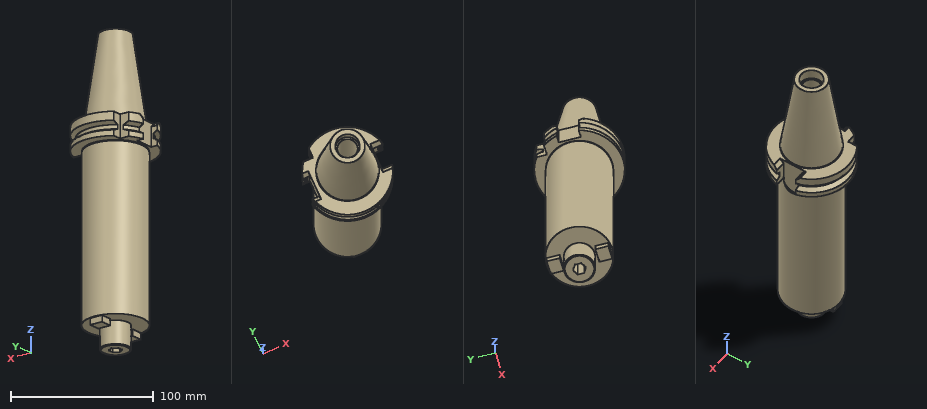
import cadquery as cq
import math

total_length = 236.5
taper_length = 68.5
flange_top_depth = 69.3
flange_bottom_depth = 87.5
body_top_depth = 88.2
body_bottom_depth = 218.0

gauge_radius = 22.2
taper_rate = 3.5 / 24
small_end_radius = gauge_radius - taper_length * taper_rate
relief_radius = 21.7
flange_radius = 63.5 / 2
neck_radius = 23.6
body_radius = 23.9
spigot_radius = 22.0 / 2
spigot_chamfer = 0.7

groove_floor_radius = 28.1
groove_top_depth = 76.0
groove_bottom_depth = 83.2
groove_flank_angle = 30
groove_flank = (flange_radius - groove_floor_radius) * math.tan(math.radians(groove_flank_angle))

slot_width = 16.0
slot_chamfer = 3.0
left_slot_floor = 25.3
right_slot_floor = 22.5
right_slot_end_depth = 97.0

notch_x = -18.2
notch_y = 18.7

key_width = 10.5
key_height = 5.0
key_inner = 13.0
key_outer = 22.5

bore_steps = [
    (8.5, 8.3),
    (7.0, 68.5),
    (6.0, 78.0),
]
hex_across_flats = 8.0


def level(depth):
    """Height above the spigot end for a depth below the small end."""
    return total_length - depth


def turned_blank():
    stations = [
        (0, 0),
        (small_end_radius, 0),
        (gauge_radius, taper_length),
        (relief_radius, taper_length),
        (relief_radius, flange_top_depth),
        (flange_radius, flange_top_depth),
        (flange_radius, groove_top_depth),
        (groove_floor_radius, groove_top_depth + groove_flank),
        (groove_floor_radius, groove_bottom_depth - groove_flank),
        (flange_radius, groove_bottom_depth),
        (flange_radius, flange_bottom_depth),
        (neck_radius, flange_bottom_depth),
        (neck_radius, body_top_depth),
        (body_radius, body_top_depth),
        (body_radius, body_bottom_depth),
        (spigot_radius, body_bottom_depth),
        (spigot_radius, total_length - spigot_chamfer),
        (spigot_radius - spigot_chamfer, total_length),
        (0, total_length),
    ]
    outline = [(radius, level(depth)) for radius, depth in stations]
    return cq.Workplane("XZ").polyline(outline).close().revolve(360, (0, 0), (0, 1))


def slot_profile(bottom_depth):
    """Slot cross-section in YZ, flared at the upper flange edge."""
    half = slot_width / 2
    top = level(flange_top_depth)
    return (
        cq.Workplane("YZ")
        .moveTo(-half, level(bottom_depth))
        .lineTo(half, level(bottom_depth))
        .lineTo(half, top - slot_chamfer)
        .lineTo(half + slot_chamfer, top)
        .lineTo(-half - slot_chamfer, top)
        .lineTo(-half, top - slot_chamfer)
        .close()
    )


def left_slot():
    slot = slot_profile(flange_bottom_depth).extrude(-flange_radius)
    return slot.intersect(
        cq.Workplane("YZ", origin=(-left_slot_floor, 0, total_length / 2))
        .rect(total_length, total_length)
        .extrude(-flange_radius)
    )


def right_slot():
    """Deeper slot that runs into the body and ends in a half round."""
    half = slot_width / 2
    round_depth = right_slot_end_depth - half
    round_end = cq.Workplane("YZ").center(0, level(round_depth)).circle(half).extrude(flange_radius)
    slot = slot_profile(round_depth).extrude(flange_radius).union(round_end)
    return slot.intersect(
        cq.Workplane("YZ", origin=(right_slot_floor, 0, total_length / 2))
        .rect(total_length, total_length)
        .extrude(flange_radius)
    )


def notch():
    return (
        cq.Workplane("XY", origin=(notch_x, notch_y, level(flange_bottom_depth)))
        .rect(-flange_radius, flange_radius, centered=False)
        .extrude(flange_bottom_depth - flange_top_depth)
    )


def drive_keys():
    key_centre = (key_inner + key_outer) / 2
    return (
        cq.Workplane("XY", origin=(0, 0, level(body_bottom_depth)))
        .pushPoints([(0, -key_centre), (0, key_centre)])
        .rect(key_width, key_outer - key_inner)
        .extrude(-key_height)
    )


def axial_bore():
    bore = (
        cq.Workplane("XY")
        .transformed(rotate=(0, 0, 90))
        .polygon(6, hex_across_flats / math.cos(math.pi / 6))
        .extrude(total_length)
    )
    for radius, depth in bore_steps:
        step = cq.Workplane("XY", origin=(0, 0, total_length)).circle(radius).extrude(-depth)
        bore = bore.union(step)
    return bore


result = (
    turned_blank()
    .cut(left_slot())
    .cut(right_slot())
    .cut(notch())
    .union(drive_keys())
    .cut(axial_bore())
)